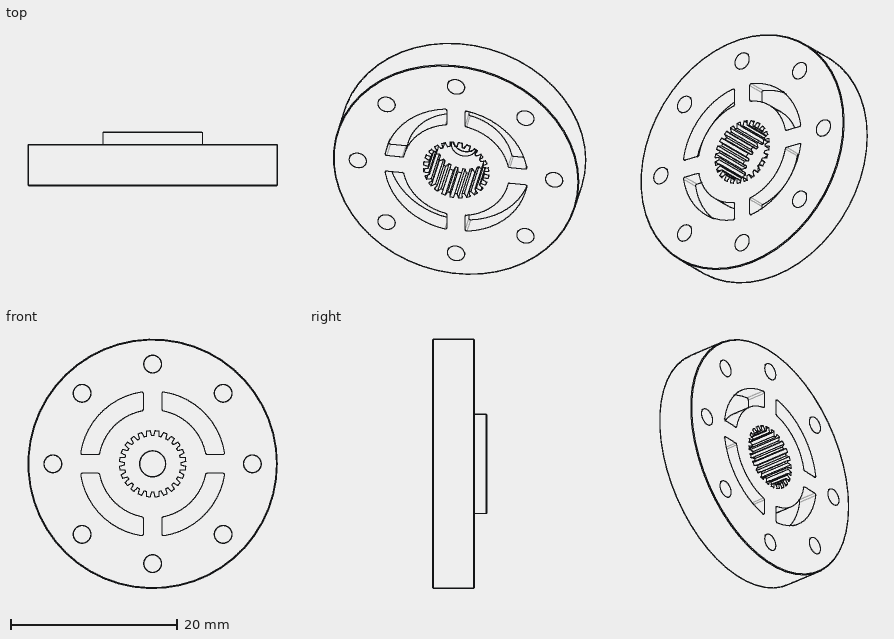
import cadquery as cq
import math

flange_radius = 15.0
flange_thickness = 5.0
edge_chamfer = 0.1

boss_radius = 6.0
boss_height = 1.5
total_length = flange_thickness + boss_height

hole_count = 8
hole_diameter = 2.1
hole_circle_radius = 12.0

pocket_outer_radius = 8.75
pocket_inner_radius = 6.5
pocket_depth = 2.5
pocket_corner_radius = 0.2
rib_width = 2.25

bore_diameter = 3.1
spline_depth = 5.5
spline_groove_count = 24
spline_minor_radius = 3.4
spline_major_radius = 4.0
groove_mouth_width = 0.61
groove_floor_width = 0.46


def disc(radius, length):
    """Cylinder along +Y starting at Y = 0."""
    return cq.Workplane("XZ").circle(radius).extrude(-length)


def make_body():
    flange = disc(flange_radius, flange_thickness).edges().chamfer(edge_chamfer)
    boss = disc(boss_radius, total_length).faces(">Y").edges().chamfer(edge_chamfer)
    return flange.union(boss)


def make_mounting_holes():
    return (
        cq.Workplane("XZ")
        .polarArray(hole_circle_radius, 0, 360, hole_count)
        .circle(hole_diameter / 2)
        .extrude(-flange_thickness)
    )


def make_pockets():
    core = disc(pocket_inner_radius, pocket_depth)
    ring = disc(pocket_outer_radius, pocket_depth).cut(core)
    rib_length = 2 * flange_radius
    ribs = (
        cq.Workplane("XZ")
        .rect(rib_length, rib_width)
        .extrude(-pocket_depth)
        .union(cq.Workplane("XZ").rect(rib_width, rib_length).extrude(-pocket_depth))
    )
    return ring.cut(ribs).edges("|Y").fillet(pocket_corner_radius)


def chord_distance(radius, width):
    """Distance from the axis to a chord of the given width in a circle."""
    return math.sqrt(radius**2 - (width / 2) ** 2)


def make_spline_groove():
    """One groove along Y, centred on +X and narrowing outwards to a flat floor."""
    mouth_half = groove_mouth_width / 2
    floor_half = groove_floor_width / 2
    mouth_distance = chord_distance(spline_minor_radius, groove_mouth_width)
    floor_distance = chord_distance(spline_major_radius, groove_floor_width)
    return (
        cq.Workplane("XZ")
        .moveTo(mouth_distance, -mouth_half)
        .lineTo(floor_distance, -floor_half)
        .lineTo(floor_distance, floor_half)
        .lineTo(mouth_distance, mouth_half)
        .close()
        .extrude(-spline_depth)
    )


def make_spline_socket():
    socket = disc(spline_minor_radius, spline_depth)
    groove = make_spline_groove()
    pitch_angle = 360 / spline_groove_count
    for index in range(spline_groove_count):
        angle = (index + 0.5) * pitch_angle
        socket = socket.union(groove.rotate((0, 0, 0), (0, 1, 0), angle))
    return socket


def make_bore():
    return disc(bore_diameter / 2, total_length)


result = (
    make_body()
    .cut(make_mounting_holes())
    .cut(make_pockets())
    .cut(make_spline_socket())
    .cut(make_bore())
)